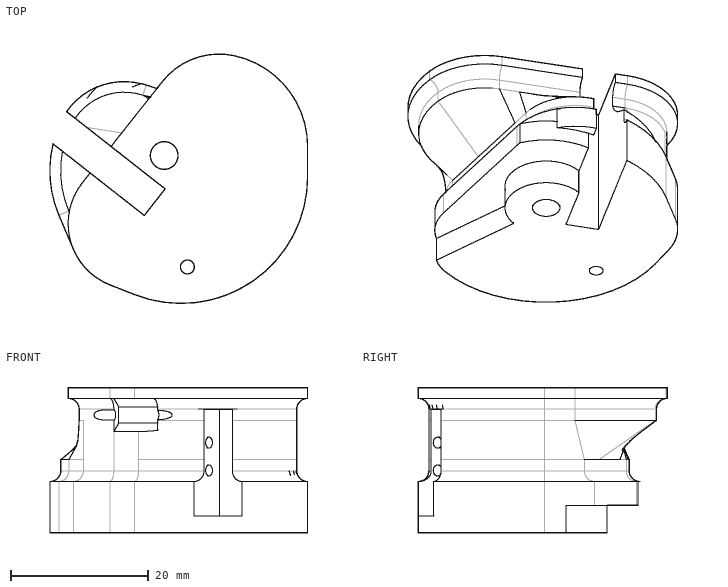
import cadquery as cq
import math


RIM = 1.5875
TOTAL_HEIGHT = 21.17
LOWER_FLANGE_TOP = 7.5
LOFT_BOTTOM = LOWER_FLANGE_TOP + 2 * RIM
UPPER_FLANGE_BOTTOM = TOTAL_HEIGHT - RIM
LOFT_TOP = UPPER_FLANGE_BOTTOM - 2 * RIM
GROOVE_FILLET = 0.98 * RIM


HEEL = (-4.40, -9.93, 9.6)
BODY = (2.45, -3.10, 18.465)

def inner_disc(outer, radius, angle):
    """Disc of the given radius touching the outer disc from inside at an angle in degrees."""
    reach = outer[2] - radius
    return (
        outer[0] + reach * math.cos(math.radians(angle)),
        outer[1] + reach * math.sin(math.radians(angle)),
        radius,
    )

LOWER_NOSE_RADIUS = 10.18
LOWER_NOSE_ANGLE = 153.8
LOWER_CORNER_RADIUS = 7.67
LOWER_SIDE = (-0.055, -2.21, 16.62)
LOWER_NOSE = inner_disc(LOWER_SIDE, LOWER_NOSE_RADIUS, LOWER_NOSE_ANGLE)
LOWER_CORNER = inner_disc(BODY, LOWER_CORNER_RADIUS, 0)

LOBE_SIDE_RADIUS = 13.56
LOBE_SIDE_Y = 1.30
LOBE_NOSE_RADIUS = 10.5
LOBE_NOSE_ANGLE = 78
LOBE_SIDE = (BODY[0] + BODY[2] - LOBE_SIDE_RADIUS, LOBE_SIDE_Y, LOBE_SIDE_RADIUS)
LOBE_NOSE = inner_disc(LOBE_SIDE, LOBE_NOSE_RADIUS, LOBE_NOSE_ANGLE)

LOWER_BREAKS = (0.35, 0.85)
UPPER_BREAKS = (0.16, 0.46)

SLOT_ANGLE = -38.1
SLOT_NEAR_WALL = -3.75
SLOT_WIDTH = 4.9
SLOT_END = 3.1

CLEAR = 60
TOLERANCE = 0.01

AXLE_HOLE = 4.0
POST_HOLE = 2.0
POST_HOLE_AT = (3.38, -16.24)

RECESS_HEIGHT = 4.0
HUB_RADIUS = 6.0
CHANNEL_INNER = 11.0
CHANNEL_OUTER = 14.0

NOTCH_U = 16.69
NOTCH_V = -8.21
NOTCH_BOTTOM = 2.5
NOTCH_TOP = UPPER_FLANGE_BOTTOM - RIM
STRING_HOLE = 1.6
STRING_HOLE_HEIGHTS = (9.1, 13.15)

POCKET_LENGTH = 6.75
POCKET_DEPTH = 1.95
POCKET_BACK_BOTTOM = 15.99
POCKET_BACK_TOP = 18.37
POCKET_FLARE = UPPER_FLANGE_BOTTOM - POCKET_BACK_TOP
CROSS_HOLE = 1.5

def tangent_normal(disc, following):
    """Outward angle of the tangent leading from one disc to the following one."""
    dx = following[0] - disc[0]
    dy = following[1] - disc[1]
    ratio = (disc[2] - following[2]) / math.hypot(dx, dy)
    return math.atan2(dy, dx) - math.acos(max(-1.0, min(1.0, ratio)))

def rim_point(disc, angle, inset, z):
    reach = disc[2] - inset
    return cq.Vector(disc[0] + reach * math.cos(angle), disc[1] + reach * math.sin(angle), z)

def arc(disc, start, end, inset, z):
    sweep = (end - start) % (2 * math.pi)
    points = [rim_point(disc, start + sweep * part, inset, z) for part in (0, 0.5, 1)]
    return cq.Edge.makeThreePointArc(*points)

def tangent_lines(disc, following, normal, inset, z, breaks=()):
    """Straight tangent between two discs, broken at the given fractions of its length."""
    start = rim_point(disc, normal, inset, z)
    end = rim_point(following, normal, inset, z)
    points = [start + (end - start) * part for part in (0, *breaks, 1)]
    return [cq.Edge.makeLine(a, b) for a, b in zip(points, points[1:])]

HEEL_TO_BODY = tangent_normal(HEEL, BODY)
BODY_TO_CORNER = tangent_normal(BODY, LOWER_CORNER)
CORNER_TO_NOSE = tangent_normal(LOWER_CORNER, LOWER_NOSE)
NOSE_TO_SIDE = tangent_normal(LOWER_NOSE, LOWER_SIDE)
SIDE_TO_HEEL = tangent_normal(LOWER_SIDE, HEEL)
BODY_TO_LOBE = tangent_normal(BODY, LOBE_SIDE)
LOBE_SIDE_TO_NOSE = tangent_normal(LOBE_SIDE, LOBE_NOSE)
LOBE_TO_HEEL = tangent_normal(LOBE_NOSE, HEEL)

def lower_outline(inset, z):
    """Lower track; its ten edges pair with those of the upper track in the loft."""
    return cq.Wire.assembleEdges([
        *tangent_lines(HEEL, BODY, HEEL_TO_BODY, inset, z),
        arc(BODY, HEEL_TO_BODY, BODY_TO_CORNER, inset, z),
        arc(LOWER_CORNER, BODY_TO_CORNER, CORNER_TO_NOSE, inset, z),
        *tangent_lines(LOWER_CORNER, LOWER_NOSE, CORNER_TO_NOSE, inset, z, LOWER_BREAKS),
        arc(LOWER_NOSE, CORNER_TO_NOSE, NOSE_TO_SIDE, inset, z),
        arc(LOWER_SIDE, NOSE_TO_SIDE, SIDE_TO_HEEL, inset, z),
        *tangent_lines(LOWER_SIDE, HEEL, SIDE_TO_HEEL, inset, z),
        arc(HEEL, SIDE_TO_HEEL, HEEL_TO_BODY, inset, z),
    ])

def upper_outline(inset, z):
    return cq.Wire.assembleEdges([
        *tangent_lines(HEEL, BODY, HEEL_TO_BODY, inset, z),
        arc(BODY, HEEL_TO_BODY, BODY_TO_LOBE, inset, z),
        *tangent_lines(BODY, LOBE_SIDE, BODY_TO_LOBE, inset, z),
        arc(LOBE_SIDE, BODY_TO_LOBE, LOBE_SIDE_TO_NOSE, inset, z),
        arc(LOBE_NOSE, LOBE_SIDE_TO_NOSE, LOBE_TO_HEEL, inset, z),
        *tangent_lines(LOBE_NOSE, HEEL, LOBE_TO_HEEL, inset, z, UPPER_BREAKS),
        arc(HEEL, LOBE_TO_HEEL, SIDE_TO_HEEL, inset, z),
        arc(HEEL, SIDE_TO_HEEL, HEEL_TO_BODY, inset, z),
    ])

def prism(outline, inset, bottom, top):
    return cq.Solid.extrudeLinear(outline(inset, bottom), [], cq.Vector(0, 0, top - bottom))

def grooved_track(outline, flange_bottom, flange_top, core_bottom, core_top, root_height):
    """A flange and its inset core, with the root between them rounded."""
    track = prism(outline, 0, flange_bottom, flange_top).fuse(prism(outline, RIM, core_bottom, core_top))
    inside = prism(outline, RIM / 2, flange_bottom - RIM, flange_top + RIM)
    roots = [
        edge for edge in track.Edges()
        if abs(edge.Center().z - root_height) < TOLERANCE and inside.isInside(edge.positionAt(0.5))
    ]
    return track.fillet(GROOVE_FILLET, roots)

def box_between(u, v, z):
    """Box in the slot frame from its (low, high) limits."""
    box = cq.Workplane("XY").box(u[1] - u[0], v[1] - v[0], z[1] - z[0], centered=False)
    return box.translate((u[0], v[0], z[0])).rotate((0, 0, 0), (0, 0, 1), SLOT_ANGLE)

def cylinder(diameter, bottom, top):
    return cq.Workplane("XY").workplane(offset=bottom).circle(diameter / 2).extrude(top - bottom)

def slot():
    return box_between(
        (-CLEAR, SLOT_END), (SLOT_NEAR_WALL - SLOT_WIDTH, SLOT_NEAR_WALL), (0, TOTAL_HEIGHT)
    )

def beyond_slot(bottom, top):
    """Everything on the axle side of the slot."""
    return box_between((-CLEAR, CLEAR), (SLOT_NEAR_WALL, CLEAR), (bottom, top))

def recess():
    """Clears the underside behind the axle and leaves a round hub."""
    behind_axle = cq.Workplane("XY").box(2 * CLEAR, CLEAR, RECESS_HEIGHT, centered=(True, False, False))
    hub = cylinder(2 * HUB_RADIUS, 0, RECESS_HEIGHT)
    return behind_axle.intersect(beyond_slot(0, RECESS_HEIGHT)).cut(hub)

def channel():
    """Curved channel about the axle, from the slot out through the rim."""
    ring = cylinder(2 * CHANNEL_OUTER, RECESS_HEIGHT, LOWER_FLANGE_TOP)
    ring = ring.cut(cylinder(2 * CHANNEL_INNER, RECESS_HEIGHT, LOWER_FLANGE_TOP))
    left_half = cq.Workplane("XY").box(CLEAR, CLEAR, CLEAR).translate((-CLEAR / 2, 0, 0))
    return ring.intersect(left_half).intersect(beyond_slot(RECESS_HEIGHT, LOWER_FLANGE_TOP))

def notch():
    return box_between((NOTCH_U, CLEAR), (-CLEAR, NOTCH_V), (NOTCH_BOTTOM, NOTCH_TOP))

def string_hole(height):
    """Bore along the slot direction from the post hole to the notch."""
    tilt = math.radians(SLOT_ANGLE)
    along = cq.Vector(math.cos(tilt), math.sin(tilt), 0)
    start = cq.Vector(*POST_HOLE_AT, height)
    length = NOTCH_U - start.dot(along)
    return cq.Workplane(cq.Plane(start, cq.Vector(0, 0, 1), along)).circle(STRING_HOLE / 2).extrude(length)

def anchor_plane():
    """Plane across the heel's straight side: x points outward, y up, origin on the core at z = 0."""
    origin = rim_point(HEEL, HEEL_TO_BODY, RIM, 0)
    outward = cq.Vector(math.cos(HEEL_TO_BODY), math.sin(HEEL_TO_BODY), 0)
    return cq.Plane(origin, outward, outward.cross(cq.Vector(0, 0, 1)))

def anchor_pocket():
    """Pocket with sloped floor and ceiling, starting where the heel arc meets the straight side."""
    pocket = cq.Workplane(anchor_plane()).polyline([
        (-POCKET_DEPTH, POCKET_BACK_BOTTOM),
        (RIM, POCKET_BACK_BOTTOM - POCKET_FLARE * (POCKET_DEPTH + RIM) / POCKET_DEPTH),
        (RIM, UPPER_FLANGE_BOTTOM),
        (0, UPPER_FLANGE_BOTTOM),
        (-POCKET_DEPTH, POCKET_BACK_TOP),
    ])
    return pocket.close().extrude(-POCKET_LENGTH)

def cross_hole():
    """Bore along the core's straight side that breaks out at both ends."""
    height = (POCKET_BACK_BOTTOM + POCKET_BACK_TOP) / 2
    return cq.Workplane(anchor_plane()).center(0, height).circle(CROSS_HOLE / 2).extrude(CLEAR / 2, both=True)

def build_cam():
    lower_track = grooved_track(
        lower_outline, 0, LOWER_FLANGE_TOP, LOWER_FLANGE_TOP, LOFT_BOTTOM, LOWER_FLANGE_TOP
    )
    upper_track = grooved_track(
        upper_outline, UPPER_FLANGE_BOTTOM, TOTAL_HEIGHT, LOFT_TOP, UPPER_FLANGE_BOTTOM, UPPER_FLANGE_BOTTOM,
    )
    ramp = cq.Solid.makeLoft([lower_outline(RIM, LOFT_BOTTOM), upper_outline(RIM, LOFT_TOP)], True)
    cam = cq.Workplane(lower_track.fuse(ramp, upper_track))
    cam = cam.cut(slot()).cut(recess()).cut(channel()).cut(notch())
    cam = cam.cut(cylinder(AXLE_HOLE, 0, TOTAL_HEIGHT))
    cam = cam.cut(cylinder(POST_HOLE, 0, TOTAL_HEIGHT).translate((*POST_HOLE_AT, 0)))
    for height in STRING_HOLE_HEIGHTS:
        cam = cam.cut(string_hole(height))
    return cam.cut(anchor_pocket()).cut(cross_hole())

cam = build_cam()
result = cq.Compound.makeCompound([cam.val()])